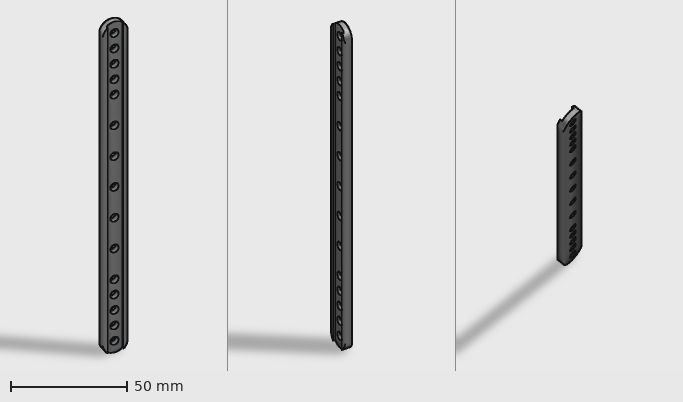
import cadquery as cq

length = 172.0
width = 12.0
depth = 4.0
web_thickness = 3.0
lip_width = 2.2
edge_radius = 0.5
hole_diameter = 4.0

end_radius = width / 2
straight_length = length - 2 * end_radius
hole_pitch = straight_length / 20
hole_steps = [0, 2, 4, 6, 7, 8, 9, 10]


def make_rounded_bar():
    """Full-length bar with its four long outer edges rounded."""
    return cq.Workplane("XY").box(depth, width, length).edges("|Z").fillet(edge_radius)


def make_round_ended_plate():
    """Plate with semicircular ends that sets the outline seen along X."""
    return (
        cq.Workplane("YZ", origin=(-depth / 2, 0, 0))
        .slot2D(length, width, 90)
        .extrude(depth)
    )


def make_channel():
    """Full-length channel cut into the +X face, leaving a lip on each side."""
    channel_depth = depth - web_thickness
    channel = cq.Workplane("XY").box(channel_depth, width - 2 * lip_width, length)
    return channel.translate(((depth - channel_depth) / 2, 0, 0))


def make_holes():
    """Row of round through holes, symmetric about mid-length."""
    steps = sorted({sign * step for step in hole_steps for sign in (-1, 1)})
    return (
        cq.Workplane("YZ", origin=(-depth / 2, 0, 0))
        .pushPoints([(0, step * hole_pitch) for step in steps])
        .circle(hole_diameter / 2)
        .extrude(depth)
    )


body = make_rounded_bar().intersect(make_round_ended_plate())
result = body.cut(make_channel()).cut(make_holes())